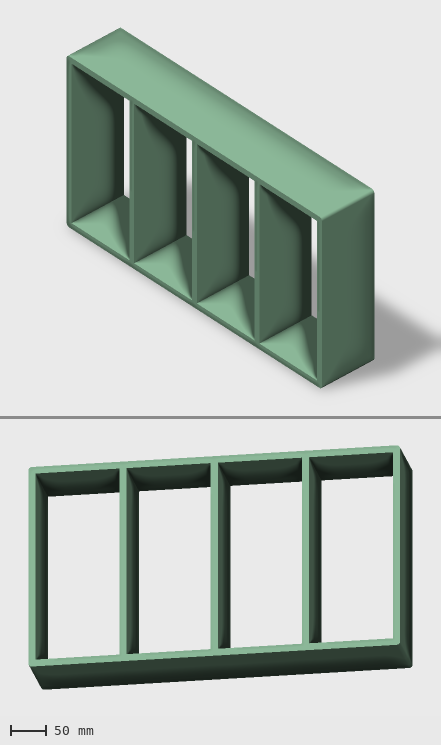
import cadquery as cq

width = 532.0
depth = 100.0
height = 298.0

wall = 10.0
corner_radius = 5.0
bay_count = 4

bay_width = (width - (bay_count + 1) * wall) / bay_count
bay_height = height - 2 * wall
bay_pitch = bay_width + wall

block = cq.Workplane("XY").box(width, depth, height).edges("|Y").fillet(corner_radius)

bays = (
    cq.Workplane("XZ")
    .rarray(bay_pitch, 5.5, bay_count, 1)
    .rect(bay_width, bay_height)
    .extrude(depth, both=True)
)

result = block.cut(bays)